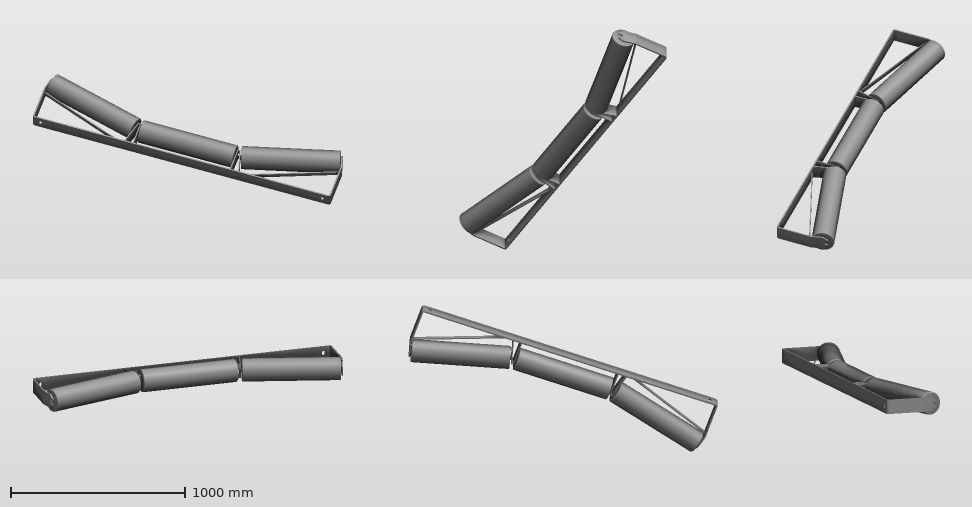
import cadquery as cq
import math


frame_length = 1800.0
strip_width = 83.0
strip_thickness = 8.1
corner_radius = 15.0
arm_angle = 15.0
arm_bend_radius = 22.0
arm_tip_height = 310.0
arm_corner_length = 27.0
arm_corner_width = 22.0

mount_slot_width = 16.0
mount_slot_height = 27.0
mount_slot_offset = 851.0

roller_diameter = 133.0
roller_length = 569.0
roller_edge_radius = 5.0
center_roller_height = 125.0
side_roller_offset = 595.0
side_roller_height = 203.0

axle_width = 22.0
axle_height = 22.0
axle_overhang = 13.0

bracket_thickness = 6.3
bracket_top_height = 150.0

strut_thickness = 6.3
strut_width = 27.0
strut_foot_offset = 360.0
strut_top_height = 207.0

half_length = frame_length / 2
lean = math.tan(math.radians(arm_angle))
lean_cos = math.cos(math.radians(arm_angle))
lean_sin = math.sin(math.radians(arm_angle))
slot_reach = 2 * roller_diameter
slot_end_clearance = 9.0
axle_length = roller_length + 2 * axle_overhang
arm_gap = axle_overhang - strip_thickness
bracket_gap = axle_overhang - bracket_thickness


def extrude_strip(outline, width):
    """Extrude an XY outline over the given width, centred on Z = 0."""
    return outline.close().extrude(width).translate((0, 0, -width / 2))


def on_axis(shape, side):
    """Place a shape built along X at the origin onto the roller axis of one side (-1, 0, 1)."""
    height = side_roller_height if side else center_roller_height
    turned = shape.rotate((0, 0, 0), (0, 0, 1), side * arm_angle)
    return turned.translate((side * side_roller_offset, height, 0))


def mirrored(left, side):
    """Return the left-hand shape, or its mirror image for side = 1."""
    return left.mirror("YZ") if side > 0 else left


def leaning_x(y, overhang):
    """X at height y of the plane square to the left roller axis, overhang units beyond an end of the
    roller: the inner end when positive, the outer end when negative."""
    distance = math.copysign(roller_length / 2, overhang) + overhang
    return -side_roller_offset + distance / lean_cos + (y - side_roller_height) * lean


def leaning_y(x, overhang):
    """Height at which that plane meets the given X."""
    return (x - leaning_x(0, overhang)) / lean


def axle_slot(side):
    """Cutter for an open slot that holds the axle ends of one roller."""
    cutter = cq.Workplane("XY").box(axle_length + 2 * slot_end_clearance, slot_reach, axle_width)
    return on_axis(cutter.translate((0, slot_reach / 2 - axle_height / 2, 0)), side)


def make_frame():
    """Bent strip: base, two uprights and two arms leaning in, slotted for the side axles."""
    inner_x = half_length - strip_thickness
    left_outer = [
        (leaning_x(arm_tip_height, -axle_overhang), arm_tip_height),
        (-half_length, leaning_y(-half_length, -axle_overhang)),
        (-half_length, 0),
    ]
    inner_tip_y = arm_tip_height - strip_thickness * lean_sin
    left_inner = [
        (-inner_x, strip_thickness),
        (-inner_x, leaning_y(-inner_x, -arm_gap)),
        (leaning_x(inner_tip_y, -arm_gap), inner_tip_y),
    ]
    right_outer = [(-x, y) for x, y in reversed(left_outer)]
    right_inner = [(-x, y) for x, y in reversed(left_inner)]
    outline = left_outer + right_outer + right_inner + left_inner
    frame = extrude_strip(cq.Workplane("XY").polyline(outline), strip_width)
    frame = frame.edges("|Z and <Y").fillet(corner_radius)
    bends = [
        (left_outer[1], arm_bend_radius),
        (left_inner[1], arm_bend_radius - strip_thickness),
    ]
    for (x, y), radius in bends:
        for side in (-1, 1):
            bend_edge = cq.selectors.NearestToPointSelector((side * x, y, 0))
            frame = frame.edges(bend_edge).fillet(radius)
    frame = frame.intersect(arm_tip_profile())
    for side in (-1, 1):
        mount_slot = cq.Workplane("XZ").center(side * mount_slot_offset, 0)
        mount_slot = mount_slot.slot2D(mount_slot_height, mount_slot_width, 90).extrude(-strip_thickness)
        frame = frame.cut(mount_slot).cut(axle_slot(side))
    return frame


def arm_tip_profile():
    """Side profile of the strip with the two corners of the arm tips cut off."""
    edge_z = strip_width / 2
    shoulder_y = arm_tip_height - arm_corner_length
    tip_z = edge_z - arm_corner_width
    upper = [(0, edge_z), (shoulder_y, edge_z), (arm_tip_height, tip_z)]
    lower = [(y, -z) for y, z in reversed(upper)]
    profile = cq.Workplane("YZ").polyline(upper + lower).close().extrude(frame_length)
    return profile.translate((-half_length, 0, 0))


def make_bracket(side):
    """Strip folded over into an upright leg and a leaning leg, slotted for two axles."""
    foot = strip_thickness
    top = bracket_top_height
    ceiling = top - bracket_thickness
    near = bracket_gap
    far = axle_overhang
    upright_near_x = -roller_length / 2 - near
    upright_far_x = -roller_length / 2 - far
    outline = cq.Workplane("XY").polyline([
        (leaning_x(foot, near), foot),
        (leaning_x(top, near), top),
        (upright_near_x, top),
        (upright_near_x, foot),
        (upright_far_x, foot),
        (upright_far_x, ceiling),
        (leaning_x(ceiling, far), ceiling),
        (leaning_x(foot, far), foot),
    ])
    bracket = extrude_strip(outline, strip_width).cut(axle_slot(-1)).cut(axle_slot(0))
    return mirrored(bracket, side)


def make_strut(side):
    """Flat diagonal strip between the base strip and the upright of the frame."""
    foot = strip_thickness
    wall = half_length - strip_thickness
    angle = math.atan2(strut_top_height - foot, wall - strut_foot_offset)
    rise = strut_thickness / math.cos(angle)
    run = strut_thickness / math.sin(angle)
    outline = cq.Workplane("XY").polyline([
        (-strut_foot_offset, foot),
        (-wall, strut_top_height),
        (-wall, strut_top_height - rise),
        (-strut_foot_offset - run, foot),
    ])
    return mirrored(extrude_strip(outline, strut_width), side)


def make_roller(side):
    """Solid roller with its axle as one piece."""
    drum = cq.Workplane("YZ").circle(roller_diameter / 2).extrude(roller_length)
    drum = drum.translate((-roller_length / 2, 0, 0)).edges("%CIRCLE").fillet(roller_edge_radius)
    axle = cq.Workplane("XY").box(axle_length, axle_height, axle_width)
    return on_axis(drum.union(axle), side)


frame = make_frame()
brackets = [make_bracket(side) for side in (-1, 1)]
struts = [make_strut(side) for side in (-1, 1)]
rollers = [make_roller(side) for side in (-1, 0, 1)]
result = cq.Compound.makeCompound([body.val() for body in [frame, *brackets, *struts, *rollers]])